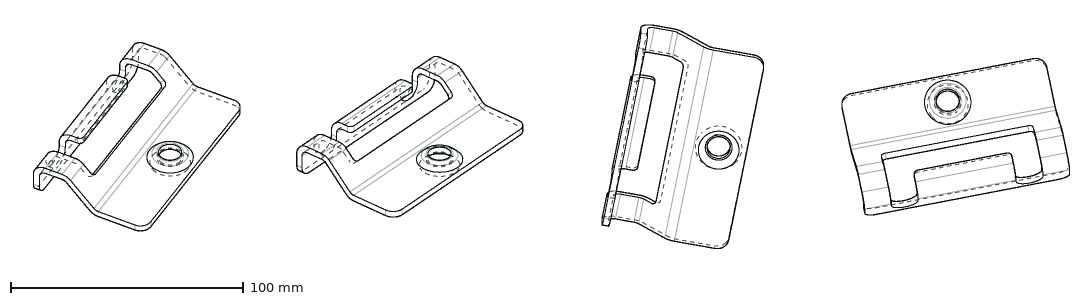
import cadquery as cq
import math

length = 54.7
width = 90.0
height = 17.0
thickness = 3.0
corner_radius = 5.0

inner_bend = thickness
outer_bend = inner_bend + thickness
bridge_end = 14.0
diagonal = math.sqrt(0.5)

window_width = 66.6
window_end = 23.2
window_corner = 2.0
tab_width = 43.0
tab_end = 11.0
tab_corner = 2.0
notch_floor = 3.0

boss_x = 42.7
boss_diameter = 20.0
boss_height = 3.0
boss_round = 3.0
hole_diameter = 10.0

clearance = 4.5

slope_top_x = bridge_end + outer_bend * diagonal
slope_top_z = height - outer_bend * (1 - diagonal)
slope_foot_z = thickness + inner_bend * (1 - diagonal)
slope_foot_x = slope_top_x + slope_top_z - slope_foot_z
base_start = slope_foot_x + inner_bend * diagonal

cone_rise = boss_height - boss_round * (1 - diagonal)
cone_top_radius = boss_diameter / 2 - cone_rise
rim_radius = cone_top_radius - boss_round * diagonal


def bend_point(center, radius, degrees):
    angle = math.radians(degrees)
    return (center[0] + radius * math.cos(angle), center[1] + radius * math.sin(angle))


def bent_sheet():
    front_center = (outer_bend, height - outer_bend)
    bridge_center = (bridge_end, height - outer_bend)
    base_center = (base_start, thickness + inner_bend)

    def arc(sketch, center, radius, middle, end):
        return sketch.threePointArc(bend_point(center, radius, middle), bend_point(center, radius, end))

    profile = cq.Workplane("XZ").lineTo(0, front_center[1])
    profile = arc(profile, front_center, outer_bend, 135, 90)
    profile = profile.lineTo(bridge_end, height)
    profile = arc(profile, bridge_center, outer_bend, 67.5, 45)
    profile = profile.lineTo(slope_foot_x, slope_foot_z)
    profile = arc(profile, base_center, inner_bend, 247.5, 270)
    profile = profile.lineTo(length, thickness).lineTo(length, 0).lineTo(base_start, 0)
    profile = arc(profile, base_center, outer_bend, 247.5, 225)
    profile = profile.lineTo(*bend_point(bridge_center, inner_bend, 45))
    profile = arc(profile, bridge_center, inner_bend, 67.5, 90)
    profile = profile.lineTo(outer_bend, height - thickness)
    profile = arc(profile, front_center, inner_bend, 135, 180)
    profile = profile.lineTo(thickness, 0).close()
    sheet = profile.extrude(width / 2, both=True)
    sheet = sheet.faces(">X").edges("|Z").fillet(corner_radius)
    return sheet.edges("|X").edges("<X").fillet(corner_radius)


def window_cutter():
    """Opening behind the tab, ending square to the slope with rounded corners."""
    edge_z = slope_top_z - (window_end - slope_top_x)
    upper = (window_end + clearance, edge_z + clearance)
    reach = thickness * diagonal + clearance
    lower = (window_end - reach, edge_z - reach)
    top = height + clearance
    outline = [(tab_end, lower[1]), lower, upper, (upper[0], top), (tab_end, top)]
    cutter = cq.Workplane("XZ").polyline(outline).close().extrude(window_width / 2, both=True)
    end_middle = ((upper[0] + lower[0]) / 2, 0, (upper[1] + lower[1]) / 2)
    end_face = cutter.faces(cq.NearestToPointSelector(end_middle))
    return end_face.edges("not |Y").fillet(window_corner)


def notch_cutter(side):
    """Round-bottomed notch beside the tab."""
    notch_width = (window_width - tab_width) / 2
    radius = notch_width / 2
    center_y = side * (window_width + tab_width) / 4
    center_z = notch_floor + radius
    return (
        cq.Workplane("YZ", origin=(-clearance, 0, 0))
        .moveTo(center_y - radius, height + clearance)
        .lineTo(center_y - radius, center_z)
        .threePointArc((center_y, notch_floor), (center_y + radius, center_z))
        .lineTo(center_y + radius, height + clearance)
        .close()
        .extrude(tab_end + clearance)
    )


def boss():
    """45-degree cone whose upper edge is rounded into the flat rim."""
    round_center = (rim_radius, thickness + boss_height - boss_round)
    return (
        cq.Workplane("XZ")
        .lineTo(0, thickness + boss_height)
        .lineTo(rim_radius, thickness + boss_height)
        .threePointArc(bend_point(round_center, boss_round, 67.5), bend_point(round_center, boss_round, 45))
        .lineTo(boss_diameter / 2, thickness)
        .lineTo(boss_diameter / 2, 0)
        .close()
        .revolve(360, (0, 0, 0), (0, 1, 0))
        .translate((boss_x, 0, 0))
    )


def boss_hollow():
    """Conical recess under the boss that keeps the sheet thickness."""
    return (
        cq.Workplane("XZ")
        .lineTo(0, boss_height)
        .lineTo(rim_radius, boss_height)
        .lineTo(rim_radius + boss_height, 0)
        .close()
        .revolve(360, (0, 0, 0), (0, 1, 0))
        .translate((boss_x, 0, 0))
    )


body = bent_sheet().cut(window_cutter())
for side in (-1, 1):
    body = body.cut(notch_cutter(side))
for side in (-1, 1):
    tab_edge = (tab_end, side * tab_width / 2, height - thickness / 2)
    body = body.edges(cq.NearestToPointSelector(tab_edge)).fillet(tab_corner)

hole = cq.Workplane("XY").center(boss_x, 0).circle(hole_diameter / 2).extrude(thickness + boss_height)
result = body.union(boss()).cut(boss_hollow()).cut(hole)